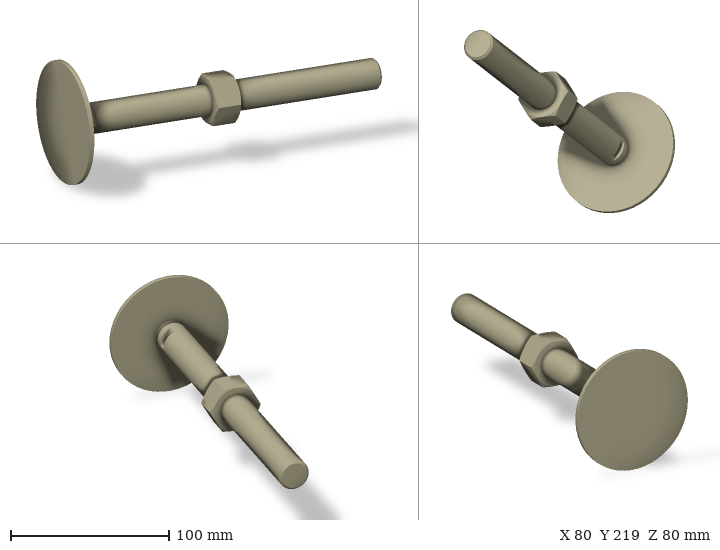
import cadquery as cq
import math

TOTAL_LENGTH = 219.0

PLATE_DIAMETER = 80.0
PLATE_THICKNESS = 3.0
NECK_BASE_RADIUS = 9.6
NECK_TOP_RADIUS = 7.5

STEM_RADIUS = 10.0
STEM_START = 6.0
STEM_CHAMFER = 1.5

FLATS_START = 12.5
FLATS_LENGTH = 6.1
FLATS_WIDTH = 15.1
FLATS_TILT = 30.0

NUT_START = 99.9
NUT_HEIGHT = 17.7
NUT_ACROSS_FLATS = 30.0
NUT_CHAMFER_ANGLE = 30.0


def cylinder(radius, start, length):
    """Solid cylinder along +Y beginning at Y = start."""
    return cq.Workplane("XZ", origin=(0, start, 0)).circle(radius).extrude(-length)


def revolve_about_y(profile):
    """Turn a closed (radius, Y) outline about the Y axis."""
    return cq.Workplane("XY").polyline(profile).close().revolve(360, (0, 0), (0, 1))


def make_foot():
    return revolve_about_y([
        (0, 0),
        (PLATE_DIAMETER / 2, 0),
        (PLATE_DIAMETER / 2, PLATE_THICKNESS),
        (NECK_BASE_RADIUS, PLATE_THICKNESS),
        (NECK_TOP_RADIUS, STEM_START),
        (0, STEM_START),
    ])


def make_stem():
    stem = cylinder(STEM_RADIUS, STEM_START, TOTAL_LENGTH - STEM_START)
    stem = stem.faces("<Y or >Y").chamfer(STEM_CHAMFER)

    flats_band = cylinder(2 * STEM_RADIUS, FLATS_START, FLATS_LENGTH)
    core = (
        cq.Workplane("XY")
        .box(FLATS_WIDTH, FLATS_LENGTH, 4 * STEM_RADIUS)
        .rotate((0, 0, 0), (0, 1, 0), -FLATS_TILT)
        .translate((0, FLATS_START + FLATS_LENGTH / 2, 0))
    )
    return stem.cut(flats_band.cut(core))


def make_nut():
    face_radius = NUT_ACROSS_FLATS / 2
    corner_radius = face_radius / math.cos(math.radians(30))
    chamfer_height = (corner_radius - face_radius) * math.tan(math.radians(NUT_CHAMFER_ANGLE))
    nut_end = NUT_START + NUT_HEIGHT

    hexagon = (
        cq.Workplane("XZ", origin=(0, NUT_START, 0))
        .polygon(6, 2 * corner_radius)
        .extrude(-NUT_HEIGHT)
    )
    blank = revolve_about_y([
        (0, NUT_START),
        (face_radius, NUT_START),
        (corner_radius, NUT_START + chamfer_height),
        (corner_radius, nut_end - chamfer_height),
        (face_radius, nut_end),
        (0, nut_end),
    ])
    bore = cylinder(STEM_RADIUS, NUT_START, NUT_HEIGHT)
    return hexagon.intersect(blank).cut(bore)


foot = make_foot()
stem = make_stem()
nut = make_nut()

result = cq.Compound.makeCompound([foot.val(), stem.val(), nut.val()])